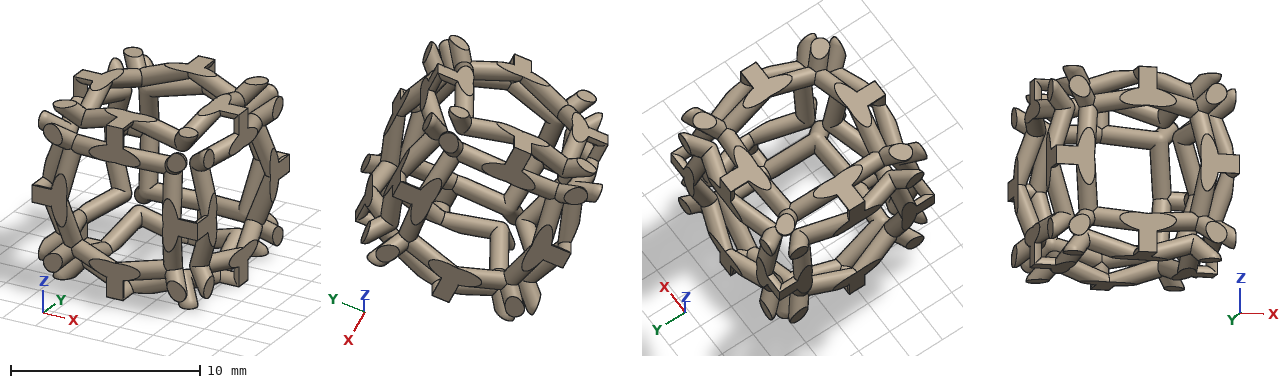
import cadquery as cq

CELL_SIZE = 10.0
STRUT_DIAMETER = 1.0

RING_MIDPOINT_OFFSET = 3.43
RING_CORNER_OFFSET = 2.98
RING_CORNER_HEIGHT = 3.98

STUB_END_OFFSET = 3.81

HALF_CELL = CELL_SIZE / 2
STRUT_RADIUS = STRUT_DIAMETER / 2
SIDES_PER_FACE = 4
SIDE_ANGLE = 360 / SIDES_PER_FACE

CENTRE = cq.Vector(0, 0, 0)
X_AXIS = cq.Vector(1, 0, 0)
Y_AXIS = cq.Vector(0, 1, 0)
Z_AXIS = cq.Vector(0, 0, 1)


def bar(start, end):
    """Round bar whose axis runs from start to end."""
    axis = end - start
    return cq.Solid.makeCylinder(STRUT_RADIUS, axis.Length, start, axis)


def ball(centre):
    """Ball that rounds off the bars ending at a node."""
    return cq.Solid.makeSphere(STRUT_RADIUS, centre, Z_AXIS, -90, 90, 360)


def top_face_side():
    """Bars and balls of one quarter of the top face: two ring bars, a stub and an edge tie."""
    midpoint = cq.Vector(RING_MIDPOINT_OFFSET, 0, HALF_CELL)
    next_midpoint = cq.Vector(0, RING_MIDPOINT_OFFSET, HALF_CELL)
    corner = cq.Vector(RING_CORNER_OFFSET, RING_CORNER_OFFSET, RING_CORNER_HEIGHT)
    stub_end = cq.Vector(STUB_END_OFFSET, STUB_END_OFFSET, HALF_CELL)
    edge_middle = cq.Vector(HALF_CELL, 0, HALF_CELL)
    return [
        bar(midpoint, corner),
        bar(corner, next_midpoint),
        bar(corner, stub_end),
        bar(midpoint, edge_middle),
        ball(midpoint),
        ball(corner),
        ball(stub_end),
    ]


def top_face_frame():
    """Complete ring of the top face with its stubs and edge ties, trimmed to the cell."""
    parts = []
    for side in range(SIDES_PER_FACE):
        for shape in top_face_side():
            parts.append(shape.rotate(CENTRE, Z_AXIS, side * SIDE_ANGLE))
    low_corner = cq.Vector(-HALF_CELL, -HALF_CELL, -HALF_CELL)
    cell = cq.Solid.makeBox(CELL_SIZE, CELL_SIZE, CELL_SIZE, low_corner)
    return parts[0].fuse(*parts[1:]).intersect(cell)


top_frame = top_face_frame()
frames = [top_frame.rotate(CENTRE, X_AXIS, angle) for angle in (0, 90, 180, 270)]
frames += [top_frame.rotate(CENTRE, Y_AXIS, angle) for angle in (90, 270)]
lattice = frames[0].fuse(*frames[1:]).clean()

result = cq.Workplane(lattice.Solids()[0])